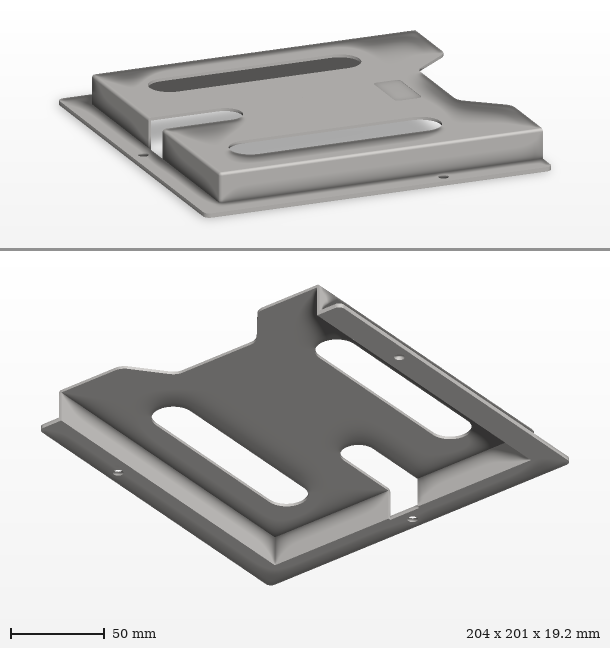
import cadquery as cq

base_width = 204.0
base_depth = 201.0
flange_width = 13.9
flange_thickness = 2.5
base_corner_radius = 3.5

total_height = 19.2
sheet_thickness = 1.6
bend_radius = 1.6
tray_width = base_width - 2 * flange_width
tray_depth = base_depth - flange_width

hole_diameter = 5.7
side_hole_y = 140.5
hole_inset = flange_width / 2

window_width = 23.3
window_length = 121.5
window_spacing = 110.5
window_center_y = 94.7

notch_width = 19.5
notch_end_y = 63.9

cutout_depth = 23.9
cutout_back_width = 92.2
cutout_front_width = 53.9
cutout_corner_radius = 8.2

label_width = 32.0
label_height = 15.5
label_depth = 0.2
label_corner_radius = 2.5
label_center_y = 154.0


def box_from_front(width, front_y, back_y, bottom_z, top_z):
    """Box centred on X and spanning the given Y and Z limits."""
    box = cq.Workplane("XY").box(width, back_y - front_y, top_z - bottom_z, centered=(True, False, False))
    return box.translate((0, front_y, bottom_z))


def make_shell():
    base = box_from_front(base_width, 0, base_depth, 0, flange_thickness)
    base = base.edges("|Z").fillet(base_corner_radius)
    tray = box_from_front(tray_width, flange_width, base_depth, 0, total_height)
    tray = tray.edges("(|Z and <Y) or (>Z and (not >Y))").fillet(bend_radius)
    cavity = box_from_front(
        tray_width - 2 * sheet_thickness,
        flange_width + sheet_thickness,
        base_depth,
        0,
        total_height - sheet_thickness,
    )
    return base.union(tray).cut(cavity)


def make_mounting_holes():
    side_hole_x = base_width / 2 - hole_inset
    centers = [(-side_hole_x, side_hole_y), (side_hole_x, side_hole_y), (0, hole_inset)]
    return cq.Workplane("XY").pushPoints(centers).circle(hole_diameter / 2).extrude(flange_thickness)


def make_windows():
    centers = [(side * window_spacing / 2, window_center_y) for side in (-1, 1)]
    return cq.Workplane("XY").pushPoints(centers).slot2D(window_length, window_width, 90).extrude(total_height)


def make_front_notch():
    """Notch that leaves the flange in front of the tray whole."""
    radius = notch_width / 2
    arc_center_y = notch_end_y - radius
    return (
        cq.Workplane("XY")
        .moveTo(-radius, flange_width)
        .lineTo(radius, flange_width)
        .lineTo(radius, arc_center_y)
        .threePointArc((0, notch_end_y), (-radius, arc_center_y))
        .close()
        .extrude(total_height)
    )


def round_cutout_corners(body):
    """Round the four vertical corners of the finger cutout."""
    half_span = cutout_back_width / 2 + cutout_corner_radius
    top_z = total_height + sheet_thickness
    selector = cq.selectors.BoxSelector(
        (-half_span, base_depth - cutout_depth - sheet_thickness, 0),
        (half_span, base_depth + sheet_thickness, top_z),
    )
    return body.edges("|Z").edges(selector).fillet(cutout_corner_radius)


def make_finger_cutout():
    front_y = base_depth - cutout_depth
    outline = [
        (-cutout_back_width / 2, base_depth),
        (-cutout_front_width / 2, front_y),
        (cutout_front_width / 2, front_y),
        (cutout_back_width / 2, base_depth),
    ]
    return cq.Workplane("XY").polyline(outline).close().extrude(total_height)


def make_label_recess():
    recess = cq.Workplane("XY").box(label_width, label_height, label_depth, centered=(True, True, False))
    recess = recess.edges("|Z").fillet(label_corner_radius)
    return recess.translate((0, label_center_y, total_height - label_depth))


result = make_shell().cut(make_finger_cutout())
result = round_cutout_corners(result)
for opening in (make_mounting_holes(), make_windows(), make_front_notch(), make_label_recess()):
    result = result.cut(opening)